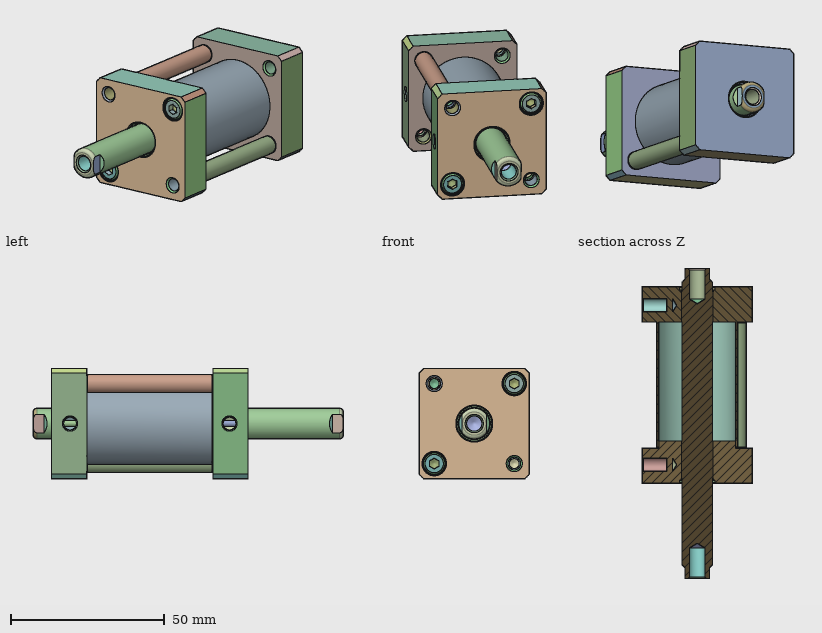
import cadquery as cq
import math


rod_length = 101.0
rod_dia = 10.0
rod_end_radius = 1.2
rod_front_stickout = 31.0
rod_rear_stickout = 6.0
flat_across = 8.0
flat_length = 3.5
rod_tap_dia = 4.9
rod_tap_mouth = 6.0
rod_tap_depth = 10.0

cap_size = 36.0
cap_depth = 11.5
cap_corner_chamfer = 1.5
corner_offset = 13.0

rod_relief_dia = 10.5
rod_relief_depth = 1.5
rod_recess_dia = 11.4
rod_recess_mouth = 12.0
rod_recess_depth = 1.0

port_dia = 4.1
port_mouth = 4.9
port_depth = 10.0
port_inset = 5.5
port_bar_dia = 2.0

cap_tap_dia = 4.1
cap_tap_mouth = 5.3
cap_tap_depth = 6.0
cap_pilot_dia = 3.2
cap_pilot_depth = 8.0

tube_dia = 26.6
tube_bore = 25.0
tube_gap = 0.3
spigot_length = 2.0

tie_dia = 6.0
tie_neck_dia = 5.5
tie_neck_length = 0.3

screw_head_dia = 7.0
screw_head_height = 4.0
screw_head_chamfer = 0.5
screw_shank_dia = 4.1
screw_length = 10.0
hex_flats = 3.0
hex_depth = 2.0
counterbore_dia = 7.5
counterbore_mouth = 8.0

drill_point_angle = 118.0

rod_front_y = -rod_length / 2
rod_rear_y = rod_length / 2
front_cap_outer_y = rod_front_y + rod_front_stickout
front_cap_inner_y = front_cap_outer_y + cap_depth
rear_cap_outer_y = rod_rear_y - rod_rear_stickout
rear_cap_inner_y = rear_cap_outer_y - cap_depth
port_ys = [front_cap_inner_y - port_inset, rear_cap_inner_y + port_inset]

screw_corners = [(corner_offset, corner_offset), (-corner_offset, -corner_offset)]
tie_corners = [(-corner_offset, corner_offset), (corner_offset, -corner_offset)]

TOWARD_REAR = cq.Vector(0, 1, 0)
TOWARD_FRONT = cq.Vector(0, -1, 0)


def cylinder(dia, y_start, length, x=0.0, z=0.0):
    """Cylinder along +Y that starts at y_start."""
    return cq.Workplane(cq.Solid.makeCylinder(dia / 2, length, cq.Vector(x, y_start, z), TOWARD_REAR))


def mouth_cone(mouth_dia, hole_dia, origin, direction):
    """45 degree countersink that narrows from mouth_dia to hole_dia."""
    depth = (mouth_dia - hole_dia) / 2
    return cq.Workplane(cq.Solid.makeCone(mouth_dia / 2, hole_dia / 2, depth, origin, direction))


def pointed_hole(dia, depth, mouth, direction):
    """Cutter for a blind hole with a drill point."""
    point_length = dia / 2 / math.tan(math.radians(drill_point_angle / 2))
    bottom = mouth + direction * depth
    bore = cq.Workplane(cq.Solid.makeCylinder(dia / 2, depth, mouth, direction))
    point = cq.Workplane(cq.Solid.makeCone(dia / 2, 0, point_length, bottom, direction))
    return bore.union(point)


def cap_block(y_start):
    """Square block with chamfered long corners."""
    block = cq.Workplane("XY").box(cap_size, cap_depth, cap_size)
    return block.edges("|Y").chamfer(cap_corner_chamfer).translate((0, y_start + cap_depth / 2, 0))


def cap_tapped_hole(x, y, z):
    """Cutter along +Y: countersunk tapped hole with a narrower, drill-pointed pilot beyond it."""
    mouth = cq.Vector(x, y, z)
    pilot = pointed_hole(cap_pilot_dia, cap_pilot_depth, mouth, TOWARD_REAR)
    countersink = mouth_cone(cap_tap_mouth, cap_tap_dia, mouth, TOWARD_REAR)
    return pilot.union(cylinder(cap_tap_dia, y, cap_tap_depth, x, z)).union(countersink)


def port_cutter(y):
    """Blind air port in the -X side, cut around the bar that crosses its bottom."""
    inward = cq.Vector(1, 0, 0)
    mouth = cq.Vector(-cap_size / 2, y, 0)
    hole = pointed_hole(port_dia, port_depth, mouth, inward)
    hole = hole.union(mouth_cone(port_mouth, port_dia, mouth, inward))
    bar_x = -cap_size / 2 + port_depth - port_bar_dia / 2
    return hole.cut(cylinder(port_bar_dia, y - port_dia, 2 * port_dia, bar_x, 0))


def rod_passage(outer_y, inward):
    """Rod bore through a cap and its spigot, with a stepped recess in the outer face."""
    mouth = cq.Vector(0, outer_y, 0)
    passage = mouth_cone(rod_recess_mouth, rod_recess_dia, mouth, inward)
    steps = [
        (rod_recess_dia, rod_recess_depth),
        (rod_relief_dia, rod_relief_depth),
        (rod_dia, cap_depth + tube_gap + spigot_length),
    ]
    for dia, depth in steps:
        passage = passage.union(cq.Workplane(cq.Solid.makeCylinder(dia / 2, depth, mouth, inward)))
    return passage


def make_front_cap():
    """Front cap with its spigot, rod passage, air port, tapped holes and screw holes."""
    cap = cap_block(front_cap_outer_y)
    cap = cap.union(cylinder(tube_bore, front_cap_inner_y, tube_gap + spigot_length))
    cap = cap.cut(rod_passage(front_cap_outer_y, TOWARD_REAR)).cut(port_cutter(port_ys[0]))
    for x, z in tie_corners:
        cap = cap.cut(cap_tapped_hole(x, front_cap_outer_y, z))
    for x, z in screw_corners:
        mouth = cq.Vector(x, front_cap_outer_y, z)
        cap = cap.cut(cylinder(counterbore_dia, front_cap_outer_y, screw_head_height, x, z))
        cap = cap.cut(mouth_cone(counterbore_mouth, counterbore_dia, mouth, TOWARD_REAR))
        cap = cap.cut(cylinder(screw_shank_dia, front_cap_outer_y, screw_length, x, z))
    return cap


def make_barrel():
    """Rear cap and tube in one piece; the tube bore is open toward the front cap."""
    tube_start_y = front_cap_inner_y + tube_gap
    tube_length = rear_cap_inner_y - tube_start_y
    barrel = cap_block(rear_cap_inner_y).union(cylinder(tube_dia, tube_start_y, tube_length))
    barrel = barrel.cut(cylinder(tube_bore, tube_start_y, tube_length))
    barrel = barrel.cut(rod_passage(rear_cap_outer_y, TOWARD_FRONT)).cut(port_cutter(port_ys[1]))
    for x, z in screw_corners:
        barrel = barrel.cut(cap_tapped_hole(x, rear_cap_inner_y, z))
    return barrel


def flat_cutter(end_y, inward, side):
    """Wrench flat on the X side given by side, with a 45 degree run-out."""
    flat_x = side * flat_across / 2
    outer_x = side * rod_dia / 2
    runout = (rod_dia - flat_across) / 2
    profile = [
        (flat_x, end_y),
        (flat_x, end_y + inward.y * flat_length),
        (outer_x, end_y + inward.y * (flat_length + runout)),
        (outer_x, end_y),
    ]
    return cq.Workplane("XY").polyline(profile).close().extrude(rod_dia / 2, both=True)


def make_rod():
    """Through rod with rounded ends, a tapped hole and two wrench flats at each end."""
    rod = cylinder(rod_dia, rod_front_y, rod_length).faces("<Y or >Y").edges().fillet(rod_end_radius)
    for end_y, inward in [(rod_front_y, TOWARD_REAR), (rod_rear_y, TOWARD_FRONT)]:
        mouth = cq.Vector(0, end_y, 0)
        rod = rod.cut(pointed_hole(rod_tap_dia, rod_tap_depth, mouth, inward))
        rod = rod.cut(mouth_cone(rod_tap_mouth, rod_tap_dia, mouth, inward))
        for side in (-1, 1):
            rod = rod.cut(flat_cutter(end_y, inward, side))
    return rod


def make_tie_rod(x, z):
    """Tie rod between the caps, with a short neck at each end."""
    length = rear_cap_inner_y - front_cap_inner_y
    body_start = front_cap_inner_y + tie_neck_length
    tie = cylinder(tie_neck_dia, front_cap_inner_y, length, x, z)
    return tie.union(cylinder(tie_dia, body_start, length - 2 * tie_neck_length, x, z))


def make_screw(x, z):
    """Socket head screw, head flush with the front face of the cap."""
    shank_start = front_cap_outer_y + screw_head_height
    shank_length = screw_length - screw_head_height
    screw = cylinder(screw_head_dia, front_cap_outer_y, screw_head_height, x, z)
    screw = screw.faces("<Y").edges().chamfer(screw_head_chamfer)
    screw = screw.union(cylinder(screw_shank_dia, shank_start, shank_length, x, z))
    corner_dia = hex_flats / math.cos(math.pi / 6)
    mouth = cq.Vector(x, front_cap_outer_y, z)
    hexagon = (
        cq.Workplane("XZ", origin=mouth.toTuple())
        .transformed(rotate=(0, 0, 90))
        .polygon(6, corner_dia)
        .extrude(-screw_head_height)
    )
    return screw.cut(hexagon.intersect(pointed_hole(corner_dia, hex_depth, mouth, TOWARD_REAR)))


front_cap = make_front_cap()
barrel = make_barrel()
rod = make_rod()
tie_rods = [make_tie_rod(x, z).val() for x, z in tie_corners]
screws = [make_screw(x, z).val() for x, z in screw_corners]

result = cq.Compound.makeCompound([front_cap.val(), barrel.val(), rod.val(), *tie_rods, *screws])